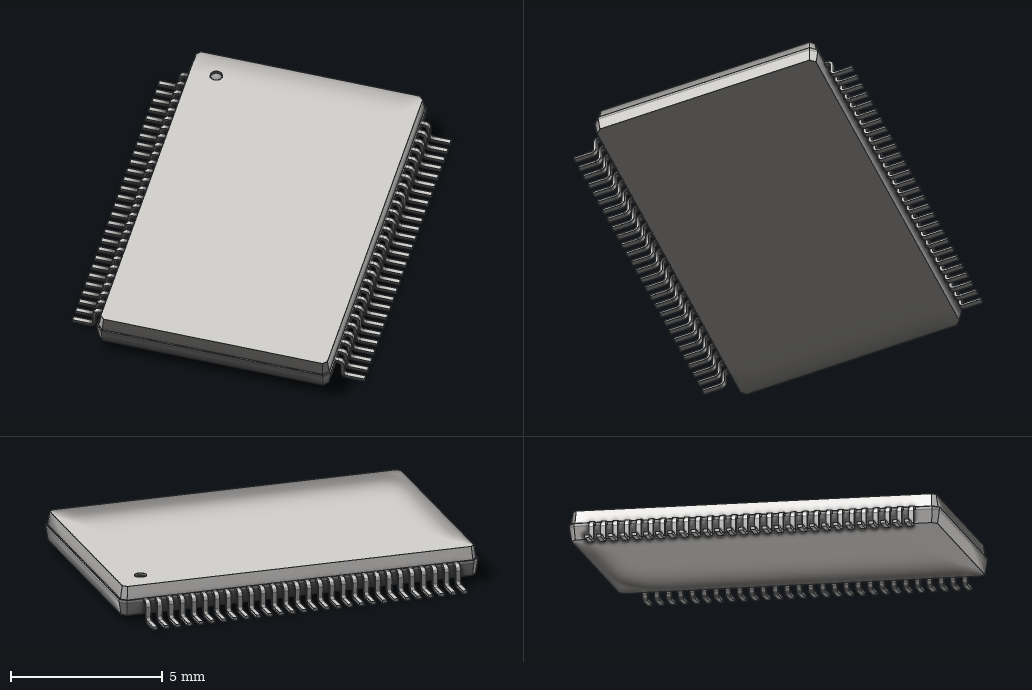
import cadquery as cq
import math

body_width = 8.0
body_length = 12.5
body_bottom = 0.2
body_top = 1.2
corner_chamfer = 0.205
draft_angle = 9.0
top_ledge = 0.05

lead_span = 10.0
lead_thickness = 0.1
lead_width = 0.16
lead_pitch = 0.4
leads_per_side = 28
foot_length = 0.7
bend_inner_radius = 0.1
lead_embed = 0.2

band_middle = (body_bottom + body_top) / 2
band_top = band_middle + lead_thickness / 2
band_bottom = band_middle - lead_thickness / 2

mark_diameter = 0.4
mark_depth = 0.1
mark_x = -2.98
mark_y = 5.23


def body_slab(base_z, height, inset, taper):
    """Corner-chamfered body outline, set in evenly by inset and extruded from base_z.

    A negative height goes down.
    """
    chamfer_length = corner_chamfer - inset * (2 - math.sqrt(2))
    outline = (
        cq.Sketch()
        .rect(body_width - 2 * inset, body_length - 2 * inset)
        .vertices()
        .chamfer(chamfer_length)
    )
    return (
        cq.Workplane("XY")
        .workplane(offset=base_z)
        .placeSketch(outline)
        .extrude(height, taper=taper)
    )


def make_body():
    band = body_slab(band_bottom, lead_thickness, 0, 0)
    upper = body_slab(band_top, body_top - band_top, top_ledge, draft_angle)
    lower = body_slab(band_bottom, body_bottom - band_bottom, 0, draft_angle)
    return band.union(upper).union(lower)


def cut_pin_one_mark(body):
    mark = (
        cq.Workplane("XY")
        .workplane(offset=body_top - mark_depth)
        .center(mark_x, mark_y)
        .circle(mark_diameter / 2)
        .extrude(mark_depth)
    )
    return body.cut(mark)


def make_lead():
    """One lead on the +X side, centred on Y = 0, with its foot on Z = 0."""
    tip_x = lead_span / 2
    shank_outer_x = tip_x - foot_length
    shank_inner_x = shank_outer_x - lead_thickness
    root_x = body_width / 2 - lead_embed
    inner = bend_inner_radius
    outer = inner + lead_thickness
    diagonal = math.sqrt(0.5)

    shoulder_x = shank_inner_x - inner
    shoulder_z = band_bottom - inner
    heel_x = shank_outer_x + inner
    heel_z = lead_thickness + inner

    profile = (
        cq.Workplane("XZ")
        .moveTo(root_x, band_top)
        .lineTo(shoulder_x, band_top)
        .threePointArc(
            (shoulder_x + outer * diagonal, shoulder_z + outer * diagonal),
            (shank_outer_x, shoulder_z),
        )
        .lineTo(shank_outer_x, heel_z)
        .threePointArc(
            (heel_x - inner * diagonal, heel_z - inner * diagonal),
            (heel_x, lead_thickness),
        )
        .lineTo(tip_x, lead_thickness)
        .lineTo(tip_x, 0)
        .lineTo(heel_x, 0)
        .threePointArc(
            (heel_x - outer * diagonal, heel_z - outer * diagonal),
            (shank_inner_x, heel_z),
        )
        .lineTo(shank_inner_x, shoulder_z)
        .threePointArc(
            (shoulder_x + inner * diagonal, shoulder_z + inner * diagonal),
            (shoulder_x, band_bottom),
        )
        .lineTo(root_x, band_bottom)
        .close()
    )
    return profile.extrude(lead_width / 2, both=True).val()


def make_leads():
    right_lead = make_lead()
    left_lead = right_lead.mirror("YZ")
    first_y = -lead_pitch * (leads_per_side - 1) / 2
    leads = []
    for index in range(leads_per_side):
        shift = cq.Vector(0, first_y + index * lead_pitch, 0)
        leads.append(right_lead.translate(shift))
        leads.append(left_lead.translate(shift))
    return leads


marked_body = cut_pin_one_mark(make_body())
result = cq.Workplane("XY").newObject([marked_body.val().fuse(*make_leads())])